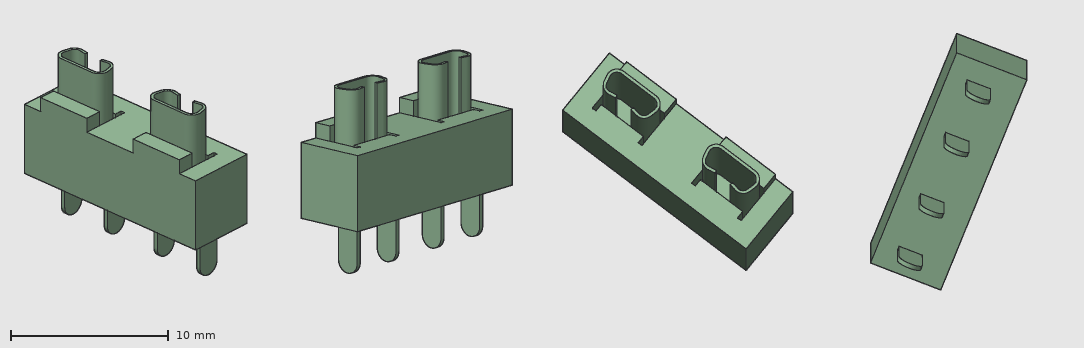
import cadquery as cq
import math

housing_length = 14.8
housing_depth = 4.8
housing_height = 5.0

clip_pitch = 8.0
clip_width = 4.0
clip_depth = 1.79
clip_front_y = 1.2
clip_rise = 3.6
clip_thickness = 0.2
clip_bend_radius = 0.7
rear_inner_radius = 0.41
side_lean = 14.0
lip_slope = 10.0
lip_length = 0.47

shoulder_height = 1.0

pin_thickness = 0.3
pin_width = 1.6
pin_front_y = 1.92
pin_length = 3.4

clip_centers = [-clip_pitch / 2, clip_pitch / 2]
pocket_depth = housing_height / 2
pocket_floor = housing_height - pocket_depth
clip_top = housing_height + clip_rise
pin_offset = (clip_width - pin_thickness) / 2
pin_center_y = pin_front_y + pin_width / 2


def box(x_center, y_front, z_bottom, length, depth, height):
    """Block centred on x_center that grows in +Y and +Z from its front lower edge."""
    block = cq.Workplane("XY").box(length, depth, height, centered=(True, False, False))
    return block.translate((x_center, y_front, z_bottom))


def polar(center, radius, degrees):
    """Point on a circle at the given angle."""
    angle = math.radians(degrees)
    return (center[0] + radius * math.cos(angle), center[1] + radius * math.sin(angle))


def make_housing():
    """Block with a front shoulder, a blind pocket and two pin slots for each clip."""
    housing = box(0, 0, 0, housing_length, housing_depth, housing_height)
    for x in clip_centers:
        shoulder = box(x, 0, housing_height, clip_width, clip_front_y, shoulder_height)
        pocket = box(x, clip_front_y, pocket_floor, clip_width, clip_depth, pocket_depth)
        housing = housing.union(shoulder).cut(pocket)
        for side in (-1, 1):
            slot = box(x + side * pin_offset, pin_front_y, 0, pin_thickness, pin_width, housing_height)
            housing = housing.cut(slot)
    return housing


def make_half_spring():
    """Left half of the bent strip: front wall, front bend, side wall, rear bend and lip."""
    outer = clip_bend_radius
    inner = clip_bend_radius - clip_thickness
    front_center = (clip_bend_radius - clip_width / 2, clip_front_y + outer)
    rear_center_y = clip_front_y + clip_depth - outer
    lean_shift = (rear_center_y - front_center[1]) * math.tan(math.radians(side_lean))
    rear_center = (front_center[0] + lean_shift, rear_center_y)

    front_wall = 270
    side_wall = 180 - side_lean
    lip = 90 - lip_slope
    front_middle = (front_wall + side_wall) / 2
    rear_middle = (side_wall + lip) / 2

    half_turn = math.radians((side_wall - lip) / 2)
    center_shift = (inner - rear_inner_radius) / math.cos(half_turn)
    rear_inner_center = polar(rear_center, center_shift, rear_middle)

    lip_direction = lip - 90
    outer_tip = polar(polar(rear_center, outer, lip), lip_length, lip_direction)
    inner_tip = polar(outer_tip, clip_thickness, lip + 180)

    profile = (
        cq.Workplane("XY", origin=(0, 0, pocket_floor))
        .moveTo(0, clip_front_y)
        .lineTo(*polar(front_center, outer, front_wall))
        .threePointArc(polar(front_center, outer, front_middle), polar(front_center, outer, side_wall))
        .lineTo(*polar(rear_center, outer, side_wall))
        .threePointArc(polar(rear_center, outer, rear_middle), polar(rear_center, outer, lip))
        .lineTo(*outer_tip)
        .lineTo(*inner_tip)
        .lineTo(*polar(rear_inner_center, rear_inner_radius, lip))
        .threePointArc(
            polar(rear_inner_center, rear_inner_radius, rear_middle),
            polar(rear_inner_center, rear_inner_radius, side_wall),
        )
        .lineTo(*polar(front_center, inner, side_wall))
        .threePointArc(polar(front_center, inner, front_middle), polar(front_center, inner, front_wall))
        .lineTo(0, clip_front_y + clip_thickness)
        .close()
    )
    return profile.extrude(clip_top - pocket_floor)


def make_pin(x):
    """Flat pin with a fully rounded lower end, reaching up to the pocket floor."""
    end_radius = pin_width / 2
    end_center_z = end_radius - pin_length
    blade = box(x, pin_front_y, end_center_z, pin_thickness, pin_width, pocket_floor - end_center_z)
    rounded_end = (
        cq.Workplane("YZ", origin=(x - pin_thickness / 2, pin_center_y, end_center_z))
        .circle(end_radius)
        .extrude(pin_thickness)
    )
    return blade.union(rounded_end)


def make_clip():
    """Spring clip centred on X = 0 with a pin under each side wall."""
    half_spring = make_half_spring()
    clip = half_spring.union(half_spring.mirror("YZ"))
    for side in (-1, 1):
        clip = clip.union(make_pin(side * pin_offset))
    return clip.clean()


housing = make_housing()
clips = []
for center_x in clip_centers:
    clips.append(make_clip().translate((center_x, 0, 0)).solids().val())

result = cq.Compound.makeCompound([housing.solids().val(), *clips])